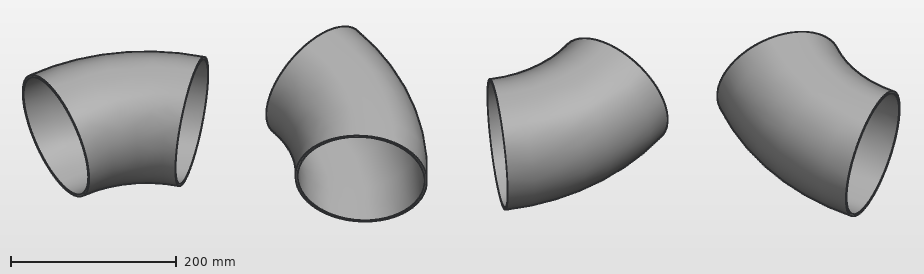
import cadquery as cq
import math

length = 209.0
outer_diameter = 159.0
wall = 3.0
bend_angle = 45.0

outer_radius = outer_diameter / 2
inner_radius = outer_radius - wall

bend_radius = length / math.sin(math.radians(bend_angle)) - outer_radius


def elbow():
    """Tube starting in the plane Y = 0, running toward +Y and bending toward +X."""
    ring = cq.Workplane("XZ").circle(outer_radius).circle(inner_radius)
    axis_start = (bend_radius, 0)
    axis_end = (bend_radius, -1)
    return ring.revolve(bend_angle, axis_start, axis_end)


result = elbow()